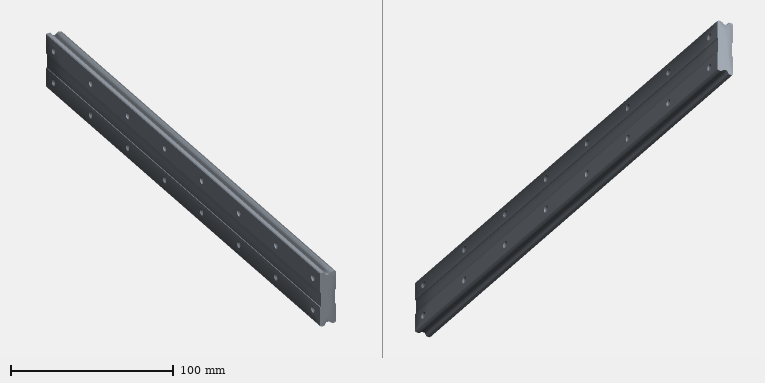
import cadquery as cq

length = 370.0
height = 37.0

front_chamfer = 0.5
front_lip_width = 2.33
groove_front_wall_width = 1.35
groove_floor_width = 2.05
groove_back_wall_width = 1.07
ridge_front_slope_width = 1.22
ridge_flat_width = 1.2
ridge_back_slope_width = 1.3

groove_depth = 2.25
ridge_drop = 0.65
ridge_foot_drop = 1.35
back_edge_drop = 1.2

recess_height = 10.0
recess_depth = 0.5

hole_count = 8
hole_end_margin = 10.0
hole_row_spacing = 22.0
hole_diameter = 4.5
hole_pitch = (length - 2 * hole_end_margin) / (hole_count - 1)

edge_steps = [
    (front_chamfer, 0),
    (front_lip_width, 0),
    (groove_front_wall_width, groove_depth),
    (groove_floor_width, groove_depth),
    (groove_back_wall_width, ridge_foot_drop),
    (ridge_front_slope_width, ridge_drop),
    (ridge_flat_width, ridge_drop),
    (ridge_back_slope_width, back_edge_drop),
]
thickness = sum(width for width, _ in edge_steps)


def edge_outline():
    """Points along the top edge of the section, from the front face to the back face."""
    y = -thickness / 2
    points = [(y, height / 2 - front_chamfer)]
    for width, depth in edge_steps:
        y += width
        points.append((y, height / 2 - depth))
    return points


def make_rail():
    """Section with mirrored top and bottom edges, extruded along X and centred on the origin."""
    top = edge_outline()
    bottom = [(y, -z) for y, z in reversed(top)]
    return cq.Workplane("YZ").polyline(top + bottom).close().extrude(length / 2, both=True)


def make_recesses():
    """Full-length cutters for the shallow channels in the front and back faces."""
    face_offset = thickness / 2
    return (
        cq.Workplane("XY")
        .pushPoints([(0, -face_offset), (0, face_offset)])
        .box(length, 2 * recess_depth, recess_height)
    )


def make_holes():
    """Cutters for the two rows of holes running through the thickness."""
    return (
        cq.Workplane("XZ")
        .rarray(hole_pitch, hole_row_spacing, hole_count, 2)
        .circle(hole_diameter / 2)
        .extrude(thickness, both=True)
    )


result = make_rail().cut(make_recesses()).cut(make_holes())